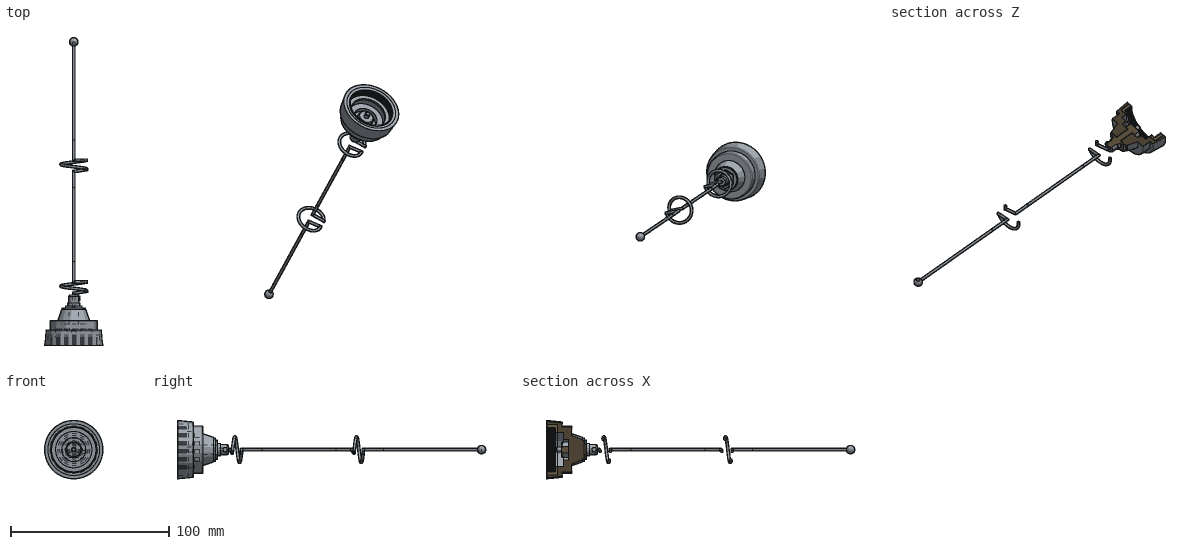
import cadquery as cq
import math

OVERALL_LENGTH = 195.0

WIRE_RADIUS = 0.9
BALL_RADIUS = 2.7
COIL_RADIUS = 8.0
COIL_PITCH = 5.8
COIL_UPPER_TAIL = 12.9
COIL_LOWER_TAIL = 10.1
COIL_LEG_DROP = 1.4
COIL_LEG_ANGLE = -14.0
LOWER_COIL_TOP = 53.2
COIL_SPACING = 77.0

RIM_RADIUS = 18.5
RIM_TOP_RADIUS = 17.5
RIM_BAND_TOP = 10.0
BAND_RADIUS = 15.0
BAND_TOP = 16.0
BAND_EDGE_ROUND = 0.5
CONE_BASE_RADIUS = 10.1
CONE_TOP_RADIUS = 7.8
CONE_TOP = 22.8
SEAT_RADIUS = 7.5
SEAT_TOP = 23.8
FLOOR = 10.5
WELL_RADIUS = 7.6
WELL_FLOOR = 13.6

INSERT_RADIUS = 16.4
THREAD_CREST_RADIUS = 14.0
THREAD_ROOT_RADIUS = 14.6
THREAD_PITCH = 0.8
THREAD_COUNT = 7
LEDGE_THICKNESS = 1.4
BORE_RADIUS = 11.5
THREAD_DEPTH = THREAD_PITCH * THREAD_COUNT
INSERT_TOP = THREAD_DEPTH + LEDGE_THICKNESS

PIN_RADIUS = 1.5
PIN_TIP = 6.2
PIN_CHAMFER = 0.3
HEAD_FLATS = 9.8
HEAD_BOTTOM = 9.4
HEAD_FACE_RADIUS = 4.5
SHANK_RADIUS = 3.0
FLANGE_FLATS = 10.5
FLANGE_TOP = 25.2
COLLAR_RADIUS = 3.9
COLLAR_TOP = 27.1
BARREL_RADIUS = 3.3
BARREL_TOP = 32.2
BARREL_CHAMFER_WIDTH = 0.68
BARREL_CHAMFER_HEIGHT = 1.0
SCREW_RADIUS = 1.4
SCREW_HEIGHT = 30.0
SCREW_REACH = 3.9

HEX_HALF_STEP = 30.0

UPPER_COIL_TOP = LOWER_COIL_TOP + COIL_SPACING
COIL_LENGTH = COIL_UPPER_TAIL + COIL_PITCH + COIL_LEG_DROP + COIL_LOWER_TAIL
LOWER_COIL_BOTTOM = LOWER_COIL_TOP - COIL_LENGTH
UPPER_COIL_BOTTOM = UPPER_COIL_TOP - COIL_LENGTH
BALL_CENTER = OVERALL_LENGTH - BALL_RADIUS


def revolved(profile):
    """Solid of revolution about the Y axis from (Z, Y) points."""
    outline = cq.Workplane("ZY").polyline(profile).close()
    return outline.revolve(360, (0, 0, 0), (0, 1, 0))


def bar(start, end, radius):
    """Round bar between two points."""
    base = cq.Vector(*start)
    along = cq.Vector(*end) - base
    return cq.Workplane(cq.Solid.makeCylinder(radius, along.Length, base, along))


def axial_bar(bottom, top, radius):
    """Round bar on the Y axis."""
    return bar((0, bottom, 0), (0, top, 0), radius)


def hexagon(flats, bottom, top):
    """Hexagonal prism along Y with two corners on the X axis."""
    corners = flats / math.cos(math.radians(HEX_HALF_STEP))
    plane = cq.Workplane("XZ", origin=(0, bottom, 0))
    return plane.polygon(6, corners).extrude(bottom - top)


def bent_wire(tail_end, bend, leg_height):
    """Straight tail on the Z axis with a square-ended leg that reaches just across the turn."""
    leg_end = (COIL_RADIUS + WIRE_RADIUS, leg_height)
    path = cq.Workplane("XZ").moveTo(0, tail_end).lineTo(0, bend).lineTo(*leg_end)
    section = cq.Workplane("XY", origin=(0, 0, tail_end)).circle(WIRE_RADIUS)
    return section.sweep(path, transition="right")


def make_coil(top):
    """Wire that runs down the axis, out along a leg, round one turn and back to the axis.

    The turn is wound about Z, with its lower end at Z = 0, and then stood along Y.
    """
    upper_end = COIL_PITCH + COIL_UPPER_TAIL
    lower_end = -COIL_LEG_DROP - COIL_LOWER_TAIL
    helix = cq.Wire.makeHelix(COIL_PITCH, COIL_PITCH, COIL_RADIUS, lefthand=True)
    section = cq.Workplane("XZ", origin=(COIL_RADIUS, 0, 0)).circle(WIRE_RADIUS)
    turn = section.sweep(cq.Workplane(helix), isFrenet=True)
    coil = turn.union(bent_wire(upper_end, COIL_PITCH, COIL_PITCH))
    coil = coil.union(bent_wire(lower_end, -COIL_LEG_DROP, 0))
    coil = coil.rotate((0, 0, 0), (1, 0, 0), -90)
    coil = coil.rotate((0, 0, 0), (0, 1, 0), -COIL_LEG_ANGLE)
    return coil.translate((0, top - upper_end, 0))


def make_ball():
    """Tip ball with a blind hole for the end of the top rod."""
    hole = axial_bar(UPPER_COIL_TOP, BALL_CENTER, WIRE_RADIUS)
    sphere = cq.Workplane("XY").sphere(BALL_RADIUS).translate((0, BALL_CENTER, 0))
    return sphere.cut(hole)


def make_housing():
    """Turned cap with a stepped bore and rounded shoulders."""
    shell = revolved([
        (INSERT_RADIUS, 0),
        (RIM_RADIUS, 0),
        (RIM_TOP_RADIUS, RIM_BAND_TOP),
        (BAND_RADIUS, RIM_BAND_TOP),
        (BAND_RADIUS, BAND_TOP),
        (CONE_BASE_RADIUS, BAND_TOP),
        (CONE_TOP_RADIUS, CONE_TOP),
        (SEAT_RADIUS, CONE_TOP),
        (SEAT_RADIUS, SEAT_TOP),
        (SHANK_RADIUS, SEAT_TOP),
        (SHANK_RADIUS, WELL_FLOOR),
        (WELL_RADIUS, WELL_FLOOR),
        (WELL_RADIUS, FLOOR),
        (BORE_RADIUS, FLOOR),
        (BORE_RADIUS, INSERT_TOP),
        (INSERT_RADIUS, INSERT_TOP),
    ])
    for radius, height in ((RIM_TOP_RADIUS, RIM_BAND_TOP), (BAND_RADIUS, BAND_TOP)):
        outer_edge = [
            edge for edge in shell.edges("%CIRCLE").vals()
            if math.isclose(edge.radius(), radius) and math.isclose(edge.startPoint().y, height)
        ]
        shell = shell.newObject(outer_edge).fillet(BAND_EDGE_ROUND)
    return shell


def make_insert():
    """Ring with ring-shaped thread grooves and an inward ledge above them."""
    profile = [(INSERT_RADIUS, INSERT_TOP), (INSERT_RADIUS, 0), (THREAD_CREST_RADIUS, 0)]
    for turn in range(THREAD_COUNT):
        profile.append((THREAD_ROOT_RADIUS, (turn + 0.5) * THREAD_PITCH))
        profile.append((THREAD_CREST_RADIUS, (turn + 1) * THREAD_PITCH))
    profile += [(BORE_RADIUS, THREAD_DEPTH), (BORE_RADIUS, INSERT_TOP)]
    return revolved(profile)


def make_holder():
    """Contact pin, bolt head, shank, flange, collar, barrel and clamp screw, with a blind hole for the wire."""
    pin = axial_bar(PIN_TIP, HEAD_BOTTOM, PIN_RADIUS).faces("<Y").chamfer(PIN_CHAMFER)
    chamfer_cone = revolved([
        (0, HEAD_BOTTOM),
        (HEAD_FACE_RADIUS, HEAD_BOTTOM),
        (HEAD_FACE_RADIUS + WELL_FLOOR - HEAD_BOTTOM, WELL_FLOOR),
        (0, WELL_FLOOR),
    ])
    head = hexagon(HEAD_FLATS, HEAD_BOTTOM, WELL_FLOOR).intersect(chamfer_cone)
    shank = axial_bar(WELL_FLOOR, SEAT_TOP, SHANK_RADIUS)
    flange = hexagon(FLANGE_FLATS, SEAT_TOP, FLANGE_TOP).rotate((0, 0, 0), (0, 1, 0), HEX_HALF_STEP)
    barrel = revolved([
        (0, FLANGE_TOP),
        (COLLAR_RADIUS, FLANGE_TOP),
        (COLLAR_RADIUS, COLLAR_TOP),
        (BARREL_RADIUS, COLLAR_TOP),
        (BARREL_RADIUS, BARREL_TOP - BARREL_CHAMFER_HEIGHT),
        (BARREL_RADIUS - BARREL_CHAMFER_WIDTH, BARREL_TOP),
        (0, BARREL_TOP),
    ])
    screw = bar((0, SCREW_HEIGHT, 0), (SCREW_REACH, SCREW_HEIGHT, 0), SCREW_RADIUS)
    holder = pin.union(head).union(shank).union(flange).union(barrel).union(screw)
    return holder.cut(axial_bar(LOWER_COIL_BOTTOM, BARREL_TOP, WIRE_RADIUS))


coils = [make_coil(top) for top in (LOWER_COIL_TOP, UPPER_COIL_TOP)]
mid_rod = axial_bar(LOWER_COIL_TOP, UPPER_COIL_BOTTOM, WIRE_RADIUS)
top_rod = axial_bar(UPPER_COIL_TOP, BALL_CENTER, WIRE_RADIUS)
ball = make_ball()
housing = make_housing()
insert = make_insert()
holder = make_holder()

result = cq.Compound.makeCompound([
    *[coil.solids().val() for coil in coils],
    mid_rod.val(),
    top_rod.val(),
    ball.solids().val(),
    housing.solids().val(),
    insert.solids().val(),
    holder.solids().val(),
])